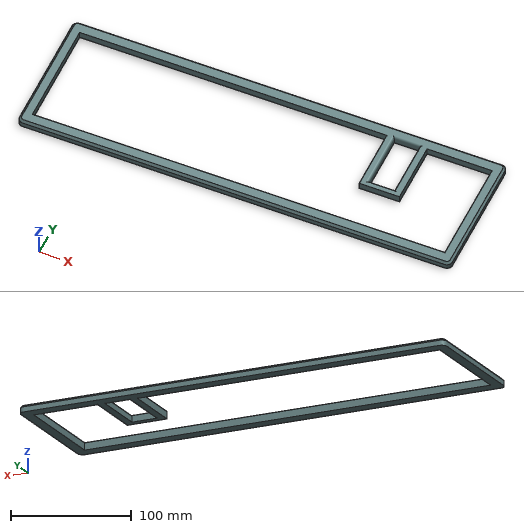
import cadquery as cq

FRAME_LENGTH = 391.6
FRAME_WIDTH = 118.05
THICKNESS = 6.5
CORNER_RADIUS = 5.0
EDGE_CHAMFER = 2.0

OPENING_LENGTH = 373.0
OPENING_WIDTH = 97.0

TAB_LENGTH = 36.5
TAB_CENTER_X = 109.6
TAB_FRONT_Y = -8.3

WINDOW_LENGTH = 23.0
WINDOW_WIDTH = 51.4
WINDOW_CENTER_Y = 22.9
WINDOW_RIM_RADIUS = 2.0

SELECTION_MARGIN = 0.1


def make_frame():
    """Rectangular frame with rounded corners and a chamfered top outer edge."""
    plate = (
        cq.Workplane("XY")
        .rect(FRAME_LENGTH, FRAME_WIDTH)
        .extrude(THICKNESS)
        .edges("|Z")
        .fillet(CORNER_RADIUS)
        .faces(">Z")
        .edges()
        .chamfer(EDGE_CHAMFER)
    )
    opening = cq.Workplane("XY").rect(OPENING_LENGTH, OPENING_WIDTH).extrude(THICKNESS)
    return plate.cut(opening)


def make_tab():
    """Full-thickness tab, reaching from its front end to the rear rail."""
    rail_y = OPENING_WIDTH / 2
    return (
        cq.Workplane("XY")
        .center(TAB_CENTER_X, (TAB_FRONT_Y + rail_y) / 2)
        .rect(TAB_LENGTH, rail_y - TAB_FRONT_Y)
        .extrude(THICKNESS)
    )


def make_window():
    """Straight rectangular cutter through the full thickness."""
    return (
        cq.Workplane("XY")
        .center(TAB_CENTER_X, WINDOW_CENTER_Y)
        .rect(WINDOW_LENGTH, WINDOW_WIDTH)
        .extrude(THICKNESS)
    )


def round_window_rim(body):
    """Round over the top rim of the window."""
    rim_box = cq.selectors.BoxSelector(
        (
            TAB_CENTER_X - WINDOW_LENGTH / 2 - SELECTION_MARGIN,
            WINDOW_CENTER_Y - WINDOW_WIDTH / 2 - SELECTION_MARGIN,
            THICKNESS - SELECTION_MARGIN,
        ),
        (
            TAB_CENTER_X + WINDOW_LENGTH / 2 + SELECTION_MARGIN,
            WINDOW_CENTER_Y + WINDOW_WIDTH / 2 + SELECTION_MARGIN,
            THICKNESS + SELECTION_MARGIN,
        ),
    )
    return body.edges(rim_box).fillet(WINDOW_RIM_RADIUS)


framed_tab = make_frame().union(make_tab())
result = round_window_rim(framed_tab.cut(make_window()))